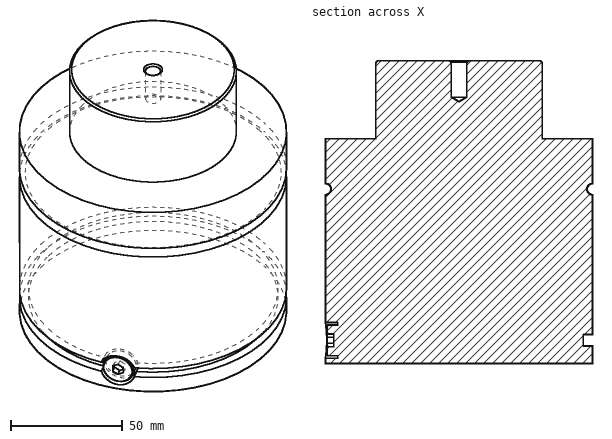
import cadquery as cq
import math

total_height = 136.0
body_diameter = 120.0
body_height = 101.0
rod_diameter = 75.0
rod_chamfer = 1.0

round_groove_radius = 2.5
round_groove_height = 78.3

square_groove_bottom = 8.0
square_groove_width = 5.0
square_groove_depth = 4.0

plug_height = 10.5
plug_diameter = 14.0
plug_chamfer = 0.4
plug_recess = 0.7
pocket_diameter = 16.0
pocket_depth = 5.5
hex_across_corners = 5.6
hex_depth = 3.0

hole_diameter = 6.8
hole_mouth_diameter = 8.5
hole_depth = 16.3
hole_tip_angle = 118

body_radius = body_diameter / 2


def make_body():
    """Cylinder body with the chamfered rod standing on it."""
    body = cq.Workplane("XY").circle(body_radius).extrude(body_height)
    rod = cq.Workplane("XY").circle(rod_diameter / 2).extrude(total_height)
    return body.union(rod.faces(">Z").edges().chamfer(rod_chamfer))


def make_round_groove():
    """Ring of round section centred on the body surface."""
    return cq.Workplane(
        cq.Solid.makeTorus(body_radius, round_groove_radius, cq.Vector(0, 0, round_groove_height))
    )


def make_square_groove():
    """Ring of rectangular section, open to the body surface."""
    return (
        cq.Workplane("XY", origin=(0, 0, square_groove_bottom))
        .circle(body_radius)
        .circle(body_radius - square_groove_depth)
        .extrude(square_groove_width)
    )


def side_plane(depth):
    """Plane facing -Y at the plug centre, set below the body surface by depth."""
    return cq.Workplane("XZ", origin=(0, depth - body_radius, plug_height))


def make_pocket():
    """Round pocket that holds the plug."""
    return side_plane(pocket_depth).circle(pocket_diameter / 2).extrude(pocket_depth)


def make_plug():
    """Chamfered plug rising from the pocket floor, with a hexagon socket."""
    plug = (
        side_plane(pocket_depth)
        .circle(plug_diameter / 2)
        .extrude(pocket_depth - plug_recess)
        .faces("<Y")
        .edges()
        .chamfer(plug_chamfer)
    )
    socket = (
        side_plane(plug_recess + hex_depth)
        .transformed(rotate=(0, 0, 90))
        .polygon(6, hex_across_corners)
        .extrude(hex_depth)
    )
    return plug.cut(socket)


def make_rod_hole():
    """Drilled hole with a conical bottom and a chamfered mouth, revolved about Z."""
    radius = hole_diameter / 2
    mouth_radius = hole_mouth_diameter / 2
    mouth_depth = mouth_radius - radius
    tip_length = radius / math.tan(math.radians(hole_tip_angle / 2))
    bottom = total_height - hole_depth
    profile = [
        (0, bottom - tip_length),
        (radius, bottom),
        (radius, total_height - mouth_depth),
        (mouth_radius, total_height),
        (0, total_height),
    ]
    return cq.Workplane("XZ").polyline(profile).close().revolve(360, (0, 0), (0, 1))


result = make_body().cut(make_round_groove()).cut(make_square_groove())
result = result.cut(make_pocket()).union(make_plug())
result = result.cut(make_rod_hole())